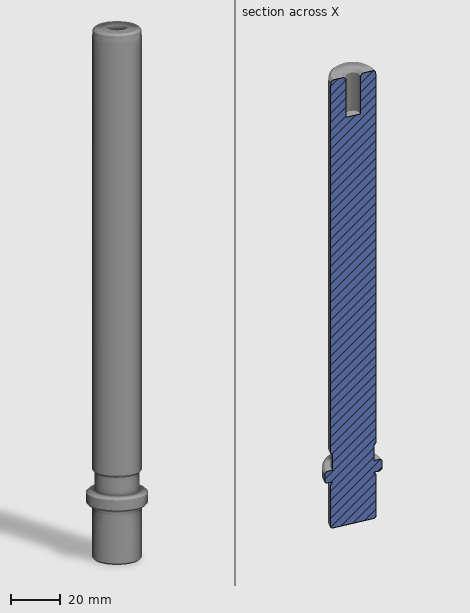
import cadquery as cq

total_length = 223.0
shaft_radius = 10.0
neck_radius = 9.1

collar_radius = 12.5
collar_bottom = 23.0
collar_top = 29.0
collar_chamfer = 1.0
stub_shoulder = 21.9
stub_chamfer = 1.0
shoulder_chamfer = 1.0

shaft_bottom = 36.5
shaft_chamfer = 1.1

lead_in_length = 3.5
lead_in_radius = 9.8
tip_chamfer = 1.0

hole_radius = 3.1
hole_depth = 20.0
countersink_radius = 4.2


def pin_body():
    """Solid of revolution of the stepped outer profile."""
    outline = [
        (0, 0),
        (shaft_radius - stub_chamfer, 0),
        (shaft_radius, stub_chamfer),
        (shaft_radius, stub_shoulder),
        (neck_radius, stub_shoulder + shoulder_chamfer),
        (neck_radius, collar_bottom),
        (collar_radius - collar_chamfer, collar_bottom),
        (collar_radius, collar_bottom + collar_chamfer),
        (collar_radius, collar_top - collar_chamfer),
        (collar_radius - collar_chamfer, collar_top),
        (neck_radius, collar_top),
        (neck_radius, shaft_bottom),
        (shaft_radius, shaft_bottom + shaft_chamfer),
        (shaft_radius, total_length - lead_in_length),
        (lead_in_radius, total_length - tip_chamfer),
        (lead_in_radius - tip_chamfer, total_length),
        (0, total_length),
    ]
    profile = cq.Workplane("XZ").polyline(outline).close()
    return profile.revolve(360, (0, 0, 0), (0, 1, 0))


def top_hole():
    """Cutter for the blind hole with its 90 degree countersink."""
    countersink_depth = countersink_radius - hole_radius
    outline = [
        (0, total_length - hole_depth),
        (hole_radius, total_length - hole_depth),
        (hole_radius, total_length - countersink_depth),
        (countersink_radius, total_length),
        (0, total_length),
    ]
    profile = cq.Workplane("XZ").polyline(outline).close()
    return profile.revolve(360, (0, 0, 0), (0, 1, 0))


result = pin_body().cut(top_hole())